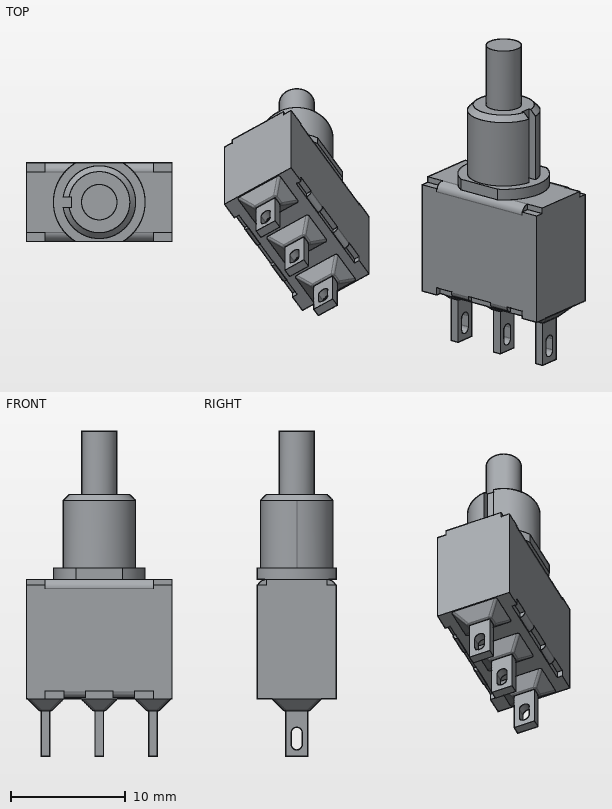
import cadquery as cq
import math

case_length = 12.7
case_width = 6.9
case_height = 10.4

total_height = 28.35
terminal_length = 5.02
flange_height = 1.0
bushing_height = 6.4
case_bottom = terminal_length
case_top = case_bottom + case_height
flange_top = case_top + flange_height
bushing_top = flange_top + bushing_height

flange_diameter = 8.0
bushing_diameter = 6.35
bushing_chamfer = 0.5
keyway_width = 0.94
keyway_floor = 2.4
plunger_diameter = 3.1

ledge_depth = 0.8
ledge_height = 0.5
fold_length = 9.47
fold_radius = ledge_depth
strip_root = 0.28
relief_height = 0.68
tab_start = 1.22
tab_length = 1.87
tab_clearance = 0.1
tab_radius = 0.48

terminal_pitch = 4.68
terminal_thickness = 0.77
terminal_width = 1.95
eyelet_width = 0.94
eyelet_length = 1.95
eyelet_edge = 0.57
collar_height = 1.05
collar_length = 3.17
collar_width = 4.35
collar_corner_radius = 0.3
collar_tip_fillet = 0.23


def block(length, width, height, x, y, bottom):
    """Box centred on (x, y), standing on the given height."""
    base = cq.Workplane("XY", origin=(x, y, bottom))
    return base.rect(length, width).extrude(height)


def cylinder(diameter, bottom, top):
    """Vertical cylinder on the Z axis between two heights."""
    return cq.Workplane("XY").workplane(offset=bottom).circle(diameter / 2).extrude(top - bottom)


def rolled_strip(length, radius, round_end, toward_case):
    """Strip on the -Y edge of the case, rounded at round_end and rooted in the case at the other end.

    toward_case is +1 when the root lies above the rounded end and -1 when it lies below.
    """
    outer_y = -case_width / 2
    inner_y = outer_y + radius + strip_root
    root_end = round_end + toward_case * (radius + strip_root)
    arc_middle = radius * (1 - math.sqrt(0.5))
    return (
        cq.Workplane("YZ", origin=(-length / 2, 0, 0))
        .moveTo(inner_y, root_end)
        .lineTo(outer_y, root_end)
        .lineTo(outer_y, round_end + toward_case * radius)
        .threePointArc(
            (outer_y + arc_middle, round_end + toward_case * arc_middle),
            (outer_y + radius, round_end),
        )
        .lineTo(inner_y, round_end)
        .close()
        .extrude(length)
    )


def make_case():
    """Case whose long edges are stepped, with a rolled fold on top and two rolled tabs below."""
    case = block(case_length, case_width, case_height, 0, 0, case_bottom)
    fold = rolled_strip(fold_length, fold_radius, case_top, -1)
    tab = rolled_strip(tab_length, tab_radius, case_bottom + tab_clearance, 1)
    tab_x = tab_start + tab_length / 2
    strips = fold.union(tab.translate((tab_x, 0, 0))).union(tab.translate((-tab_x, 0, 0)))

    ledge_y = -(case_width - ledge_depth) / 2
    relief_y = -(case_width - tab_radius) / 2
    end_length = (case_length - fold_length) / 2
    openings = block(fold_length, ledge_depth, fold_radius, 0, ledge_y, case_top - fold_radius)
    openings = openings.union(block(fold_length, tab_radius, relief_height, 0, relief_y, case_bottom))
    for side in (-1, 1):
        end_x = side * (case_length - end_length) / 2
        ledge = block(end_length, ledge_depth, ledge_height, end_x, ledge_y, case_top - ledge_height)
        openings = openings.union(ledge)

    case = case.cut(openings).cut(openings.mirror("XZ"))
    return case.union(strips).union(strips.mirror("XZ"))


def make_flange():
    """Round flange trimmed flush with the long sides of the case."""
    flange = cylinder(flange_diameter, case_top, flange_top)
    return flange.intersect(block(flange_diameter, case_width, flange_height, 0, 0, case_top))


def make_bushing():
    """Bushing with a chamfered rim and a keyway on its -X side."""
    bushing = cylinder(bushing_diameter, flange_top, bushing_top).faces(">Z").chamfer(bushing_chamfer)
    keyway_length = bushing_diameter / 2
    keyway_x = -keyway_floor - keyway_length / 2
    return bushing.cut(block(keyway_length, keyway_width, bushing_height, keyway_x, 0, flange_top))


def make_terminal():
    """Flat terminal with an eyelet, leaving the case through a tapered collar."""
    collar = (
        cq.Workplane("XY", origin=(0, 0, case_bottom))
        .rect(collar_length, collar_width)
        .workplane(offset=-collar_height)
        .rect(collar_length - 2 * collar_height, collar_width - 2 * collar_height)
        .loft(ruled=True)
        .edges("not #Z")
        .fillet(collar_corner_radius)
        .faces("<Z")
        .edges()
        .fillet(collar_tip_fillet)
    )
    blade = block(terminal_thickness, terminal_width, terminal_length, 0, 0, 0)
    eyelet = (
        cq.Workplane("YZ", origin=(0, 0, eyelet_edge + eyelet_length / 2))
        .slot2D(eyelet_length, eyelet_width, 90)
        .extrude(terminal_thickness, both=True)
    )
    return collar.union(blade).cut(eyelet)


result = make_case().union(make_flange()).union(make_bushing())
result = result.union(cylinder(plunger_diameter, bushing_top, total_height))
for position in (-1, 0, 1):
    result = result.union(make_terminal().translate((position * terminal_pitch, 0, 0)))